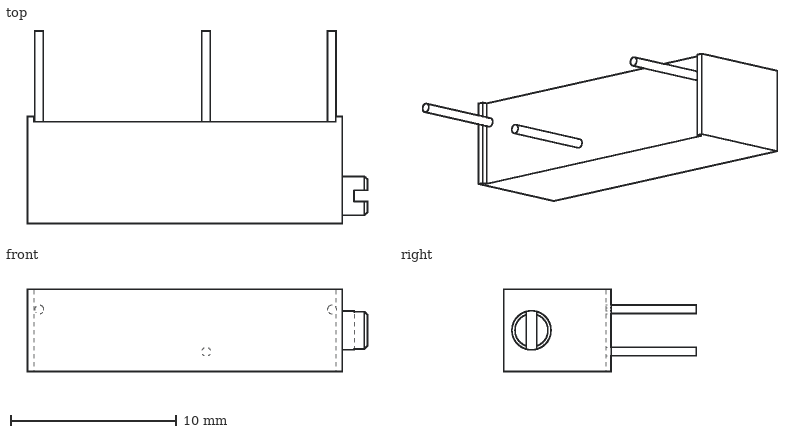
import cadquery as cq

overall_length = 20.57
overall_depth = 11.66
body_length = 19.05
body_depth = 6.5
body_height = 5.0

recess_depth = 0.33
end_wall = 0.4

pin_diameter = 0.53
pin_offset_z = 1.28
pin_places = [(0.7, pin_offset_z), (10.8, -pin_offset_z), (18.4, pin_offset_z)]

screw_diameter = 2.37
screw_center_y = 1.69
screw_chamfer = 0.19
slot_width = 0.65
slot_depth = 0.8


def make_body():
    """Rectangular housing with the recess running through its full height."""
    body = cq.Workplane("XY").box(body_length, body_depth, body_height, centered=(False, False, True))
    recess = (
        cq.Workplane("XY")
        .box(body_length - 2 * end_wall, recess_depth, body_height, centered=(False, False, True))
        .translate((end_wall, body_depth - recess_depth, 0))
    )
    return body.cut(recess)


def make_pin(x, z):
    """Round pin from the recess floor to the full depth."""
    floor_y = body_depth - recess_depth
    pin = cq.Solid.makeCylinder(
        pin_diameter / 2, overall_depth - floor_y, cq.Vector(x, floor_y, z), cq.Vector(0, 1, 0)
    )
    return cq.Workplane(obj=pin)


def make_screw():
    """Chamfered screw head with a slot across its end, parallel to Z."""
    screw = (
        cq.Workplane("YZ", origin=(body_length, screw_center_y, 0))
        .circle(screw_diameter / 2)
        .extrude(overall_length - body_length)
        .faces(">X")
        .chamfer(screw_chamfer)
    )
    slot = (
        cq.Workplane("XY")
        .box(slot_depth, slot_width, screw_diameter, centered=(False, True, True))
        .translate((overall_length - slot_depth, screw_center_y, 0))
    )
    return screw.cut(slot)


result = make_body().union(make_screw())
for pin_x, pin_z in pin_places:
    result = result.union(make_pin(pin_x, pin_z))